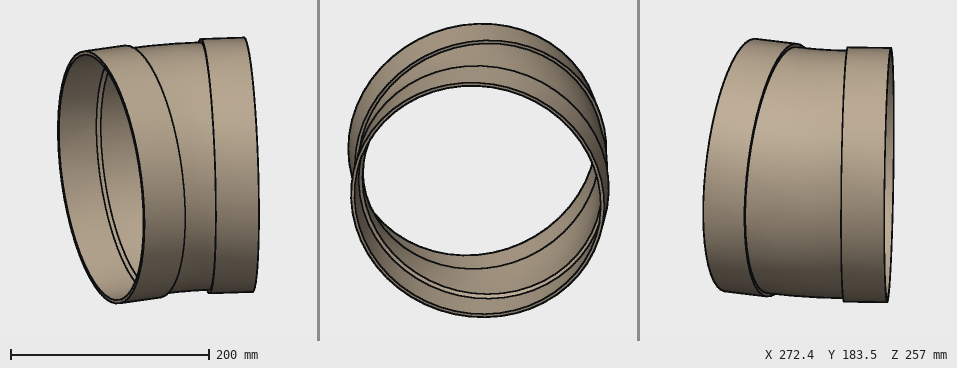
import cadquery as cq
import math

bend_angle = 15
tube_diameter = 250.0
wall = 3.5
bend_radius = tube_diameter
collar_diameter = 257.0
collar_length = 43.5
socket_diameter = collar_diameter - 2 * wall
bore_diameter = tube_diameter - 2 * wall
taper_length = wall

angle = math.radians(bend_angle)
lower_joint = cq.Plane(origin=(0, collar_length, 0), xDir=(1, 0, 0), normal=(0, -1, 0))
upper_joint = cq.Plane(
    origin=(
        bend_radius * (1 - math.cos(angle)),
        collar_length + bend_radius * math.sin(angle),
        0,
    ),
    xDir=(0, 0, 1),
    normal=(math.sin(angle), math.cos(angle), 0),
)


def bent_rod(diameter):
    """Solid round rod that follows the bend between the two joints."""
    return (
        cq.Workplane(lower_joint)
        .circle(diameter / 2)
        .revolve(bend_angle, (bend_radius, 2.7, 0), (bend_radius, 0, 0))
    )


def collar(joint):
    """Solid cylinder from a joint to the open end of its collar."""
    return cq.Workplane(joint).circle(collar_diameter / 2).extrude(collar_length)


def collar_cavity(joint):
    """Hole through a collar: a cone widens from the tube bore to the straight socket."""
    taper = (
        cq.Workplane(joint)
        .circle(bore_diameter / 2)
        .workplane(offset=taper_length)
        .circle(socket_diameter / 2)
        .loft(ruled=True)
    )
    socket = (
        cq.Workplane(joint)
        .workplane(offset=taper_length)
        .circle(socket_diameter / 2)
        .extrude(collar_length - taper_length)
    )
    return taper.union(socket)


outside = bent_rod(tube_diameter)
cavity = bent_rod(bore_diameter)
for joint in (lower_joint, upper_joint):
    outside = outside.union(collar(joint))
    cavity = cavity.union(collar_cavity(joint))

result = outside.cut(cavity)